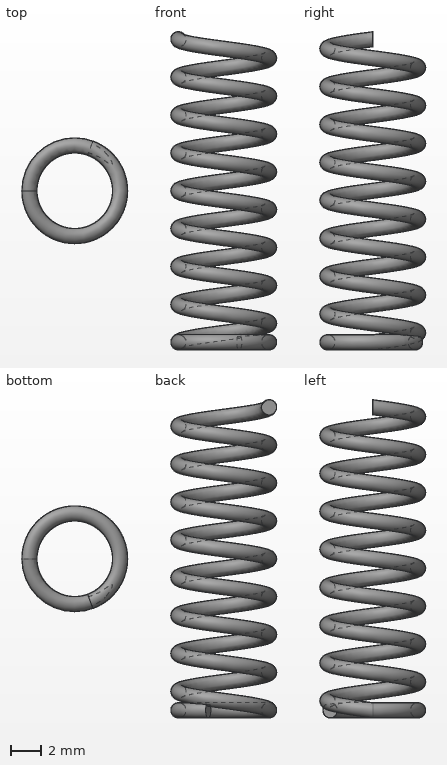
import cadquery as cq

overall_height = 21.0
outer_diameter = 7.0
wire_diameter = 1.0
active_turns = 8
ring_sweep_angle = 250.0

wire_radius = wire_diameter / 2
coil_radius = (outer_diameter - wire_diameter) / 2
helix_height = overall_height - wire_diameter
pitch = helix_height / active_turns


def wire_section():
    """Round wire section in the upright XZ plane, centred on the -X side of the coil."""
    return cq.Workplane("XZ").center(-coil_radius, 0).circle(wire_radius)


def active_coils():
    """Left-handed helix that starts and ends on the -X side."""
    helix = cq.Wire.makeHelix(pitch, helix_height, coil_radius, lefthand=True)
    path = helix.rotate(cq.Vector(0, 0, 0), cq.Vector(0, 0, 1), 180)
    return wire_section().sweep(cq.Workplane(obj=path), isFrenet=True)


def closing_ring():
    """Level part-turn of wire that continues the helix at its foot."""
    return wire_section().revolve(ring_sweep_angle, (coil_radius, 0), (coil_radius, 1))


coils = active_coils()
ring = closing_ring()
spring = coils.union(ring)

result = spring.translate((0, 0, wire_radius))